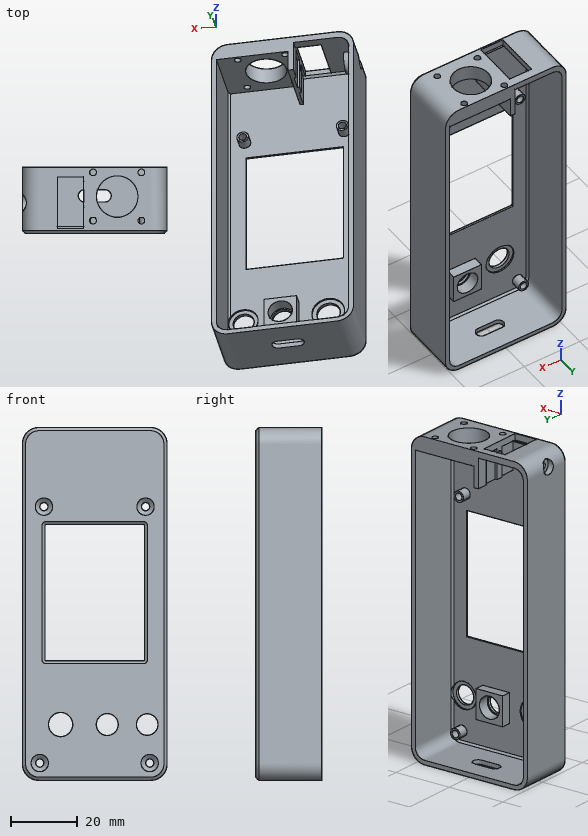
import cadquery as cq

WIDTH = 43.5
DEPTH = 19.95
HEIGHT = 106.0
CORNER_RADIUS = 5.0
FRONT_CHAMFER = 1.0

WALL = 1.5
TOP_WALL = 2.1
CAVITY_CHAMFER = 0.65
LEFT = -WIDTH / 2
RIGHT = WIDTH / 2
CAVITY_HEIGHT = HEIGHT - WALL - TOP_WALL

WINDOW_WIDTH = 29.8
WINDOW_BOTTOM = 36.0
WINDOW_TOP = 76.8
WINDOW_CHAMFER = 0.9
WINDOW_CORNER_RADIUS = 0.2

PANEL_HOLE_Z = 16.8
LEFT_PANEL_HOLE = (LEFT + 11.5, 7.2, 10.0)
MIDDLE_PANEL_HOLE = (LEFT + 25.5, 6.5, 7.4)
RIGHT_PANEL_HOLE = (RIGHT - 6.0, 6.4, 9.0)
PANEL_LIP = 1.0
BUTTON_BLOCK_SIZE = 10.0
BOSS_BACK = 4.9

SCREW_DIAMETER = 2.4
SCREW_HEAD_DIAMETER = 5.2
SCREW_BOSS_DIAMETER = 3.6
LOWER_SCREW_INSET = 5.25
UPPER_SCREW_INSET = 6.5
UPPER_SCREW_Z = HEIGHT - 23.8

CONNECTOR_X = LEFT + 28.5
CONNECTOR_Y = DEPTH - 8.8
CONNECTOR_DIAMETER = 12.4
CONNECTOR_HOLE_SPACING = 14.5
CONNECTOR_HOLE_DIAMETER = 2.0
CONNECTOR_BLOCK_HEIGHT = 5.1

OPENING_LEFT = LEFT + 10.5
OPENING_RIGHT = LEFT + 18.4
OPENING_BACK = DEPTH - 2.9
PARTITION_THICKNESS = 1.7
PARTITION_HEIGHT = 12.0
RECESS_DEPTH = 0.7
BACK_RIB_WIDTH = 4.1
MIDDLE_RIB_WIDTH = 2.6

SIDE_SCREW_Y = DEPTH - 10.7
SIDE_SCREW_Z = HEIGHT - 4.1
SIDE_SCREW_DIAMETER = 1.9
SIDE_HEAD_DIAMETER = 4.8
SIDE_HEAD_DEPTH = 2.0
SIDE_BOSS_DIAMETER = 7.0
SIDE_BOSS_LENGTH = 4.5

SLOT_LENGTH = 9.8
SLOT_WIDTH = 3.6
SLOT_Y = DEPTH - 8.6


def box(x_range, y_range, z_range):
    """Box between the given limits on each axis."""
    sizes = [high - low for low, high in (x_range, y_range, z_range)]
    corner = (x_range[0], y_range[0], z_range[0])
    return cq.Workplane("XY").box(*sizes, centered=False).translate(corner)


def cylinder_y(x, z, diameter, y_start, y_end):
    """Cylinder along +Y."""
    disc = cq.Workplane("XZ", origin=(x, y_start, z)).circle(diameter / 2)
    return disc.extrude(y_start - y_end)


def cylinder_x(diameter, x_start, x_end):
    """Cylinder along +X on the axis of the side screw."""
    disc = cq.Workplane("YZ", origin=(x_start, SIDE_SCREW_Y, SIDE_SCREW_Z)).circle(diameter / 2)
    return disc.extrude(x_end - x_start)


def outer_body():
    body = box((LEFT, RIGHT), (0, DEPTH), (0, HEIGHT))
    return body.edges("|Y").fillet(CORNER_RADIUS).faces("<Y").edges().chamfer(FRONT_CHAMFER)


def cavity():
    space = box((LEFT + WALL, RIGHT - WALL), (WALL, DEPTH), (WALL, WALL + CAVITY_HEIGHT))
    space = space.edges("|Y").fillet(CORNER_RADIUS - WALL)
    return space.faces("<Y").edges().chamfer(CAVITY_CHAMFER)


def partition():
    """Wall beside the opening; shallow recesses leave a back rib and a middle rib standing."""
    wall_bottom = HEIGHT - PARTITION_HEIGHT
    recess_top = HEIGHT - TOP_WALL
    wall = box(
        (OPENING_RIGHT, OPENING_RIGHT + PARTITION_THICKNESS),
        (WALL, DEPTH),
        (wall_bottom, recess_top),
    )
    middle_rib_front = SIDE_SCREW_Y - MIDDLE_RIB_WIDTH / 2
    middle_rib_back = SIDE_SCREW_Y + MIDDLE_RIB_WIDTH / 2
    back_rib_front = DEPTH - BACK_RIB_WIDTH
    for front, back in ((WALL, middle_rib_front), (middle_rib_back, back_rib_front)):
        recess = (
            cq.Workplane("XY", origin=(0, 0, wall_bottom))
            .moveTo(OPENING_RIGHT, front)
            .lineTo(OPENING_RIGHT + RECESS_DEPTH, front)
            .lineTo(OPENING_RIGHT + RECESS_DEPTH, back - RECESS_DEPTH)
            .lineTo(OPENING_RIGHT, back)
            .close()
            .extrude(recess_top - wall_bottom)
        )
        wall = wall.cut(recess)
    return wall


def connector_block():
    return box(
        (OPENING_RIGHT + RECESS_DEPTH, RIGHT - WALL),
        (WALL, DEPTH),
        (HEIGHT - CONNECTOR_BLOCK_HEIGHT, HEIGHT - TOP_WALL),
    )


def button_block():
    center_x = MIDDLE_PANEL_HOLE[0]
    half_size = BUTTON_BLOCK_SIZE / 2
    return box(
        (center_x - half_size, center_x + half_size),
        (WALL, BOSS_BACK),
        (PANEL_HOLE_Z - half_size, PANEL_HOLE_Z + half_size),
    )


def window_cut():
    """Opening through the front wall, flared towards the front face."""
    half_width = WINDOW_WIDTH / 2
    opening = box((-half_width, half_width), (0, WALL), (WINDOW_BOTTOM, WINDOW_TOP))
    opening = opening.edges("|Y").fillet(WINDOW_CORNER_RADIUS)
    half_flare = half_width + WINDOW_CHAMFER
    flare = box(
        (-half_flare, half_flare),
        (-WINDOW_CHAMFER, WINDOW_CHAMFER),
        (WINDOW_BOTTOM - WINDOW_CHAMFER, WINDOW_TOP + WINDOW_CHAMFER),
    )
    flare = flare.edges("|Y").fillet(WINDOW_CORNER_RADIUS + WINDOW_CHAMFER)
    flare = flare.faces(">Y").edges().chamfer(WINDOW_CHAMFER)
    return opening.union(flare)


def screw_positions():
    lower_x = RIGHT - LOWER_SCREW_INSET
    upper_x = RIGHT - UPPER_SCREW_INSET
    return [
        (-lower_x, LOWER_SCREW_INSET),
        (lower_x, LOWER_SCREW_INSET),
        (-upper_x, UPPER_SCREW_Z),
        (upper_x, UPPER_SCREW_Z),
    ]


def countersunk_hole(x, z):
    head_radius = SCREW_HEAD_DIAMETER / 2
    shank_radius = SCREW_DIAMETER / 2
    head = cq.Solid.makeCone(
        head_radius,
        shank_radius,
        head_radius - shank_radius,
        pnt=cq.Vector(x, 0, z),
        dir=cq.Vector(0, 1, 0),
    )
    return cylinder_y(x, z, SCREW_DIAMETER, 0, BOSS_BACK).union(cq.Workplane(head))


def connector_cut():
    bore_bottom = HEIGHT - CONNECTOR_BLOCK_HEIGHT
    plane = cq.Workplane("XY", origin=(CONNECTOR_X, CONNECTOR_Y, bore_bottom))
    bore = plane.circle(CONNECTOR_DIAMETER / 2).extrude(CONNECTOR_BLOCK_HEIGHT)
    mounting_holes = (
        plane.rect(CONNECTOR_HOLE_SPACING, CONNECTOR_HOLE_SPACING, forConstruction=True)
        .vertices()
        .circle(CONNECTOR_HOLE_DIAMETER / 2)
        .extrude(CONNECTOR_BLOCK_HEIGHT)
    )
    return bore.union(mounting_holes)


def top_opening():
    return box(
        (OPENING_LEFT, OPENING_RIGHT),
        (WALL, OPENING_BACK),
        (HEIGHT - TOP_WALL, HEIGHT),
    )


def side_screw_cut():
    """Counterbored hole through the left wall and pilot hole through the partition."""
    head = cylinder_x(SIDE_HEAD_DIAMETER, LEFT, LEFT + SIDE_HEAD_DEPTH)
    shank = cylinder_x(SIDE_SCREW_DIAMETER, LEFT, OPENING_RIGHT + PARTITION_THICKNESS)
    return head.union(shank)


def cable_slot():
    plane = cq.Workplane("XY", origin=(0, SLOT_Y, 0))
    return plane.slot2D(SLOT_LENGTH, SLOT_WIDTH).extrude(WALL)


def build_case():
    space = cavity()
    case = outer_body().cut(space)

    inner_parts = [
        partition(),
        connector_block(),
        button_block(),
        cylinder_x(SIDE_BOSS_DIAMETER, LEFT + WALL, LEFT + SIDE_BOSS_LENGTH),
    ]
    for x, z in screw_positions():
        inner_parts.append(cylinder_y(x, z, SCREW_BOSS_DIAMETER, WALL, BOSS_BACK))
    for inner_part in inner_parts:
        case = case.union(inner_part.intersect(space))

    for cut in (window_cut(), connector_cut(), top_opening(), side_screw_cut(), cable_slot()):
        case = case.cut(cut)
    for x, diameter, relief_diameter in (LEFT_PANEL_HOLE, MIDDLE_PANEL_HOLE, RIGHT_PANEL_HOLE):
        case = case.cut(cylinder_y(x, PANEL_HOLE_Z, diameter, 0, PANEL_LIP))
        case = case.cut(cylinder_y(x, PANEL_HOLE_Z, relief_diameter, PANEL_LIP, BOSS_BACK))
    for x, z in screw_positions():
        case = case.cut(countersunk_hole(x, z))
    return case


result = build_case()